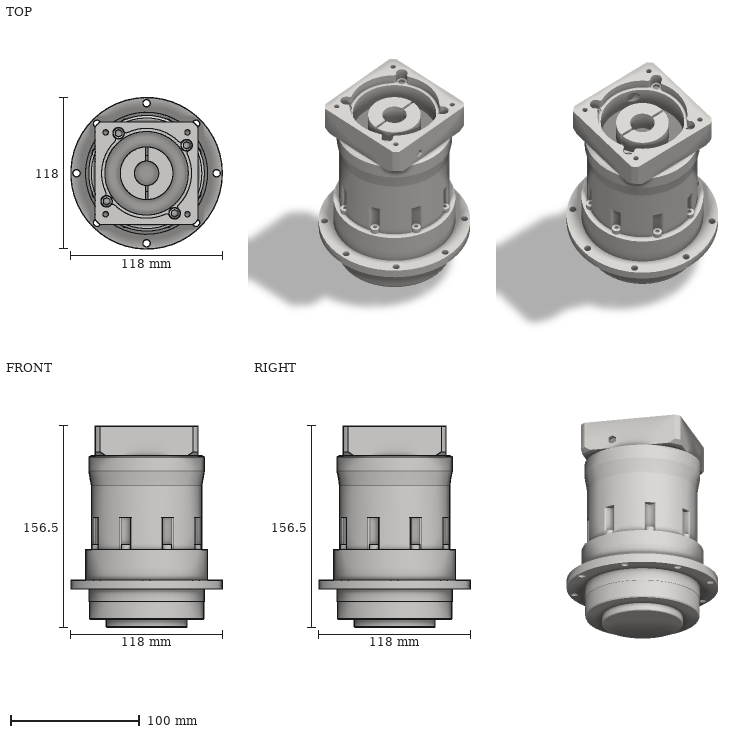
import cadquery as cq
import math

OUTPUT_RADIUS = 31.5
OUTPUT_TOP = 6.0
OUTPUT_CHAMFER = 0.5
PILOT_RADIUS = 44.5
PILOT_TOP = 20.0
PILOT_CHAMFER_WIDTH = 0.5
PILOT_CHAMFER_HEIGHT = 1.0
COLLAR_RADIUS = 45.0
FLANGE_RADIUS = 59.0
FLANGE_BOTTOM = 29.75
FLANGE_TOP = FLANGE_BOTTOM + 7.0
SHOULDER_RADIUS = 47.5
SHOULDER_TOP = 60.5
BARREL_RADIUS = 43.0
TAPER_BOTTOM = 110.5
TAPER_TOP = 121.75
RIM_RADIUS = 45.0
RIM_CHAMFER_WIDTH = 2.0
RIM_CHAMFER_HEIGHT = 1.0
GEARBOX_TOP = 133.5

FLANGE_HOLE_COUNT = 8
FLANGE_HOLE_DIAMETER = 5.5
FLANGE_HOLE_CIRCLE_RADIUS = 54.5

GROOVE_COUNT = 8
GROOVE_START_ANGLE = 180 / GROOVE_COUNT
GROOVE_CIRCLE_RADIUS = 42.0
GROOVE_RADIUS = 3.75
GROOVE_EDGE_FILLET = 1.25
GROOVE_TOP = 85.5
HOUSING_HEAD_RADIUS = 3.5
HOUSING_HEAD_HEIGHT = 4.0
HOUSING_SOCKET_WIDTH = 3.0
HOUSING_SOCKET_DEPTH = 2.0

CAVITY_RADIUS = 32.5
CAVITY_FLOOR = 129.5

PLATE_WIDTH = 80.0
PLATE_TOP = 156.5
PLATE_CORNER_RADIUS = 54.0
PLATE_LOWER_CHAMFER = 3.0
MOTOR_PILOT_RADIUS = 35.0
MOTOR_PILOT_DEPTH = 8.0
TAPPED_HOLE_PITCH = 63.6
TAPPED_HOLE_RADIUS = 2.1
TAPPED_HOLE_DEPTH = 12.0
DRILL_POINT_ANGLE = 118.0

PLATE_SCREW_COUNT = 4
PLATE_SCREW_CIRCLE_RADIUS = 38.0
PLATE_SCREW_START_ANGLE = 35.0
POCKET_RADIUS = 4.5
POCKET_MOUTH_FILLET = 2.0
PLATE_HEAD_RADIUS = 4.25
PLATE_HEAD_HEIGHT = 5.0
PLATE_HEAD_TOP = PLATE_TOP - 9.0
PLATE_HEAD_SEAT = PLATE_HEAD_TOP - PLATE_HEAD_HEIGHT
PLATE_SHANK_RADIUS = 2.5
PLATE_SHANK_LENGTH = 16.0
PLATE_SHANK_BOTTOM = PLATE_HEAD_SEAT - PLATE_SHANK_LENGTH
PLATE_SOCKET_WIDTH = 5.0
PLATE_SOCKET_DEPTH = 2.5

PLUG_RADIUS = 5.0
PLUG_LENGTH = 8.0
PLUG_Y = 14.0
PLUG_Z = 140.5
PLUG_SOCKET_WIDTH = 6.0
PLUG_SOCKET_DEPTH = 5.0

HUB_RADIUS = 20.5
HUB_TOP = 146.75
HUB_BORE_RADIUS = 9.5
SLIT_WIDTH = 2.0
SLIT_DEPTH = 12.0
SLIT_STEP_RADIUS = 14.0
SLIT_INNER_DEPTH = 14.0


def circle_points(count, radius, start_angle):
    angles = [math.radians(start_angle + i * 360 / count) for i in range(count)]
    return [(radius * math.cos(a), radius * math.sin(a)) for a in angles]


def cylinders(radius, bottom, top, points=((0, 0),)):
    plane = cq.Workplane("XY").workplane(offset=bottom)
    return plane.pushPoints(points).circle(radius).extrude(top - bottom)


def hexagon(plane, width_across_flats, depth):
    corner_diameter = width_across_flats / math.cos(math.radians(30))
    sketch = cq.Sketch().regularPolygon(corner_diameter / 2, 6)
    return plane.placeSketch(sketch).extrude(depth)


def hex_socket(width, depth, top, point):
    plane = cq.Workplane("XY", origin=(*point, top))
    return hexagon(plane, width, -depth)


def crossing_points(count, circle_radius, start_angle, small_radius, large_radius):
    cosine = (circle_radius**2 + large_radius**2 - small_radius**2) / (2 * circle_radius * large_radius)
    half_angle = math.degrees(math.acos(cosine))
    points = []
    for side in (-half_angle, half_angle):
        points += circle_points(count, large_radius, start_angle + side)
    return points


def fillet_upright_edges(body, points, middle, radius):
    edges = [body.edges(cq.selectors.NearestToPointSelector((*point, middle))).val() for point in points]
    return body.newObject(edges).fillet(radius)


def turned_section(profile):
    return cq.Workplane("XZ").polyline(profile).close().revolve(360, (0, 0, 0), (0, 1, 0))


groove_points = circle_points(GROOVE_COUNT, GROOVE_CIRCLE_RADIUS, GROOVE_START_ANGLE)
plate_screw_points = circle_points(PLATE_SCREW_COUNT, PLATE_SCREW_CIRCLE_RADIUS, PLATE_SCREW_START_ANGLE)


def make_output_section():
    profile = [
        (0, 0),
        (OUTPUT_RADIUS - OUTPUT_CHAMFER, 0),
        (OUTPUT_RADIUS, OUTPUT_CHAMFER),
        (OUTPUT_RADIUS, OUTPUT_TOP),
        (PILOT_RADIUS - PILOT_CHAMFER_WIDTH, OUTPUT_TOP),
        (PILOT_RADIUS, OUTPUT_TOP + PILOT_CHAMFER_HEIGHT),
        (PILOT_RADIUS, PILOT_TOP),
        (COLLAR_RADIUS, PILOT_TOP),
        (COLLAR_RADIUS, FLANGE_BOTTOM),
        (FLANGE_RADIUS, FLANGE_BOTTOM),
        (FLANGE_RADIUS, FLANGE_TOP),
        (SHOULDER_RADIUS, FLANGE_TOP),
        (SHOULDER_RADIUS, SHOULDER_TOP),
        (0, SHOULDER_TOP),
    ]
    holes = circle_points(FLANGE_HOLE_COUNT, FLANGE_HOLE_CIRCLE_RADIUS, 0)
    hole_cutters = cylinders(FLANGE_HOLE_DIAMETER / 2, FLANGE_BOTTOM, FLANGE_TOP, holes)
    return turned_section(profile).cut(hole_cutters)


def make_grooved_section():
    barrel = cylinders(BARREL_RADIUS, SHOULDER_TOP, GROOVE_TOP)
    barrel = barrel.cut(cylinders(GROOVE_RADIUS, SHOULDER_TOP, GROOVE_TOP, groove_points))
    middle = (SHOULDER_TOP + GROOVE_TOP) / 2
    mouths = crossing_points(
        GROOVE_COUNT, GROOVE_CIRCLE_RADIUS, GROOVE_START_ANGLE, GROOVE_RADIUS, BARREL_RADIUS
    )
    return fillet_upright_edges(barrel, mouths, middle, GROOVE_EDGE_FILLET)


def make_input_section():
    profile = [
        (0, GROOVE_TOP),
        (BARREL_RADIUS, GROOVE_TOP),
        (BARREL_RADIUS, TAPER_BOTTOM),
        (RIM_RADIUS, TAPER_TOP),
        (RIM_RADIUS, GEARBOX_TOP - RIM_CHAMFER_HEIGHT),
        (RIM_RADIUS - RIM_CHAMFER_WIDTH, GEARBOX_TOP),
        (0, GEARBOX_TOP),
    ]
    section = turned_section(profile)
    section = section.cut(cylinders(CAVITY_RADIUS, CAVITY_FLOOR, GEARBOX_TOP))
    return section.cut(cylinders(PLATE_SHANK_RADIUS, PLATE_SHANK_BOTTOM, GEARBOX_TOP, plate_screw_points))


def make_housing_screw_heads():
    head_top = SHOULDER_TOP + HOUSING_HEAD_HEIGHT
    heads = cylinders(HOUSING_HEAD_RADIUS, SHOULDER_TOP, head_top, groove_points)
    for point in groove_points:
        heads = heads.cut(hex_socket(HOUSING_SOCKET_WIDTH, HOUSING_SOCKET_DEPTH, head_top, point))
    return heads


def make_gearbox():
    gearbox = make_output_section().union(make_grooved_section()).union(make_input_section())
    return gearbox.union(make_housing_screw_heads())


def make_plate_blank():
    blank = cq.Workplane("XY").rect(PLATE_WIDTH, PLATE_WIDTH).extrude(PLATE_TOP - GEARBOX_TOP)
    blank = blank.translate((0, 0, GEARBOX_TOP))
    corner_limit = cylinders(PLATE_CORNER_RADIUS, GEARBOX_TOP, PLATE_TOP)
    return blank.intersect(corner_limit.faces("<Z").chamfer(PLATE_LOWER_CHAMFER))


def make_motor_recess():
    shelf = PLATE_TOP - MOTOR_PILOT_DEPTH
    recess = cylinders(MOTOR_PILOT_RADIUS, shelf, PLATE_TOP)
    recess = recess.union(cylinders(POCKET_RADIUS, shelf, PLATE_TOP, plate_screw_points))
    middle = (shelf + PLATE_TOP) / 2
    mouths = crossing_points(
        PLATE_SCREW_COUNT,
        PLATE_SCREW_CIRCLE_RADIUS,
        PLATE_SCREW_START_ANGLE,
        POCKET_RADIUS,
        MOTOR_PILOT_RADIUS,
    )
    return fillet_upright_edges(recess, mouths, middle, POCKET_MOUTH_FILLET)


def make_tapped_hole_cutter():
    point_height = TAPPED_HOLE_RADIUS / math.tan(math.radians(DRILL_POINT_ANGLE / 2))
    profile = [
        (0, 0),
        (TAPPED_HOLE_RADIUS, 0),
        (TAPPED_HOLE_RADIUS, -TAPPED_HOLE_DEPTH),
        (0, -TAPPED_HOLE_DEPTH - point_height),
    ]
    return turned_section(profile).translate((0, 0, PLATE_TOP))


def plug_plane():
    return cq.Workplane("YZ", origin=(-PLATE_WIDTH / 2, PLUG_Y, PLUG_Z))


def make_plate():
    plate = make_plate_blank()
    plate = plate.cut(cylinders(CAVITY_RADIUS, GEARBOX_TOP, PLATE_TOP))
    plate = plate.cut(make_motor_recess())
    plate = plate.cut(cylinders(POCKET_RADIUS, PLATE_HEAD_SEAT, PLATE_TOP, plate_screw_points))
    plate = plate.cut(cylinders(PLATE_SHANK_RADIUS, GEARBOX_TOP, PLATE_HEAD_SEAT, plate_screw_points))
    tapped_hole = make_tapped_hole_cutter()
    half_pitch = TAPPED_HOLE_PITCH / 2
    for x in (-half_pitch, half_pitch):
        for y in (-half_pitch, half_pitch):
            plate = plate.cut(tapped_hole.translate((x, y, 0)))
    return plate.cut(plug_plane().circle(PLUG_RADIUS).extrude(PLATE_WIDTH / 2))


def make_plate_screw(point):
    screw = cylinders(PLATE_HEAD_RADIUS, PLATE_HEAD_SEAT, PLATE_HEAD_TOP, [point])
    screw = screw.union(cylinders(PLATE_SHANK_RADIUS, PLATE_SHANK_BOTTOM, PLATE_HEAD_SEAT, [point]))
    return screw.cut(hex_socket(PLATE_SOCKET_WIDTH, PLATE_SOCKET_DEPTH, PLATE_HEAD_TOP, point))


def make_plug():
    plug = plug_plane().circle(PLUG_RADIUS).extrude(PLUG_LENGTH)
    return plug.cut(hexagon(plug_plane(), PLUG_SOCKET_WIDTH, PLUG_SOCKET_DEPTH))


def make_slit(length, depth):
    slit = cq.Workplane("XY").workplane(offset=HUB_TOP)
    return slit.rect(SLIT_WIDTH, length).extrude(-depth)


def make_clamping_hub():
    hub = cylinders(HUB_RADIUS, CAVITY_FLOOR, HUB_TOP)
    hub = hub.cut(cylinders(HUB_BORE_RADIUS, CAVITY_FLOOR, HUB_TOP))
    hub = hub.cut(make_slit(2 * HUB_RADIUS, SLIT_DEPTH))
    return hub.cut(make_slit(2 * SLIT_STEP_RADIUS, SLIT_INNER_DEPTH))


gearbox = make_gearbox()
plate = make_plate()
plate_screws = [make_plate_screw(point) for point in plate_screw_points]
plug = make_plug()
clamping_hub = make_clamping_hub()

result = cq.Compound.makeCompound([
    gearbox.val(),
    plate.val(),
    *[screw.val() for screw in plate_screws],
    plug.val(),
    clamping_hub.val(),
])